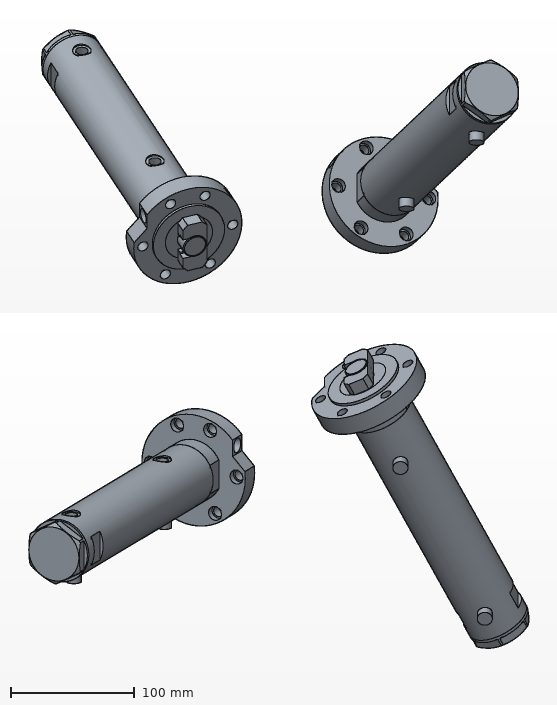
import cadquery as cq
import math


hex_end = 8.5
barrel_start = 11.0
spigot_end = 34.3
gland_start = 193.0
barrel_end = 228.7
flange_start = 244.5
flange_end = 261.0
pilot_end = 263.5
block_start = 265.5
block_step = 270.0
overall_length = 276.5

barrel_radius = 26.0
bore_radius = 16.0
neck_radius = 20.5
flat_half_width = 23.0
wrench_flat_start = 20.7
wrench_flat_length = 15.5
cap_face_radius = 22.7
cap_chamfer_length = 2.2

port_xs = (30.5, 189.5)
port_radius = 5.0
spotface_radius = 7.5
spotface_height = 24.5

plug_xs = (34.8, 193.0)
plug_radius = 6.0
plug_bottom = -33.5
plug_top = -20.5

flange_radius = 47.0
pilot_radius = 31.0
bolt_circle_radius = 39.0
bolt_angles = (0, 67.4, 112.6, 180, 240, 300)
bolt_hole_radius = 4.5
bolt_counterbore_radius = 5.8
bolt_counterbore_depth = 6.0
notch_y = -35.5
notch_floor_z = 17.1
cross_hole_radius = 6.0
cross_hole_z = 24.0

rod_radius = 10.0
rod_chamfer = 0.8
block_half_height = 23.0
block_half_width = 10.5
block_chamfer = 4.1
narrow_slot_half_height = 7.7
wide_slot_half_height = 9.5


def disc(start, end, radius):
    """Cylinder along X between two stations."""
    return cq.Workplane("YZ", origin=(start, 0, 0)).circle(radius).extrude(end - start)


def x_box(start, end, y_min, y_max, z_min, z_max):
    """Box given by its limits."""
    size = (end - start, y_max - y_min, z_max - z_min)
    return cq.Workplane().box(*size, centered=False).translate((start, y_min, z_min))


def vertical_cylinder(x, bottom, top, radius):
    """Cylinder along Z standing on the given height."""
    return cq.Workplane("XY", origin=(x, 0, bottom)).circle(radius).extrude(top - bottom)


def side_flats(start, end):
    """Material outside the two wrench flats of a barrel-sized cylinder."""
    near = x_box(start, end, -2 * barrel_radius, -flat_half_width, -barrel_radius, barrel_radius)
    return near.union(near.mirror("XZ"))


def make_cap():
    """Hexagonal end cap with a round collar and a spigot that closes the bore."""
    across_corners = 2 * flat_half_width / math.cos(math.pi / 6)
    hexagon = (
        cq.Workplane("YZ")
        .polygon(6, across_corners)
        .extrude(hex_end)
        .rotate((0, 0, 0), (1, 0, 0), 30)
    )
    turned_profile = (
        cq.Workplane("XY")
        .polyline([
            (0, 0),
            (0, cap_face_radius),
            (cap_chamfer_length, barrel_radius),
            (hex_end, barrel_radius),
            (hex_end, 0),
        ])
        .close()
        .revolve(360, (0, 0, 0), (1, 0, 0))
    )
    collar = disc(hex_end, barrel_start, barrel_radius)
    spigot = disc(barrel_start, spigot_end, bore_radius)
    return hexagon.intersect(turned_profile).union(collar).union(spigot)


def make_plug(x):
    """Round plug set in a blind hole in the underside of the barrel."""
    return vertical_cylinder(x, plug_bottom, plug_top, plug_radius)


def make_barrel():
    """Barrel with a rod gland, a reduced neck, wrench flats, spotfaced ports and plug holes."""
    barrel = disc(barrel_start, barrel_end, barrel_radius)
    barrel = barrel.cut(disc(barrel_start, barrel_end, bore_radius))
    barrel = barrel.cut(side_flats(wrench_flat_start, wrench_flat_start + wrench_flat_length))
    for x in port_xs:
        barrel = barrel.cut(vertical_cylinder(x, 0, barrel_radius, port_radius))
        barrel = barrel.cut(vertical_cylinder(x, spotface_height, barrel_radius, spotface_radius))
    for x in plug_xs:
        barrel = barrel.cut(make_plug(x))

    gland = disc(gland_start, barrel_end, bore_radius)
    neck = disc(barrel_end, pilot_end, neck_radius)
    barrel = barrel.union(gland).union(neck)
    return barrel.cut(disc(gland_start, pilot_end, rod_radius))


def make_notch():
    """Cutter for the corner notch: an upright face above a 45 degree floor."""
    rise = notch_y + flange_radius
    outside = 2 * flange_radius
    return (
        cq.Workplane("YZ", origin=(flange_start, 0, 0))
        .polyline([
            (notch_y, flange_radius),
            (notch_y, notch_floor_z),
            (-flange_radius, notch_floor_z - rise),
            (-outside, notch_floor_z - rise),
            (-outside, flange_radius),
        ])
        .close()
        .extrude(flange_end - flange_start)
    )


def make_flange():
    """Mounting flange with a flatted collar and a pilot, bored to fit over the barrel neck."""
    collar = disc(barrel_end, flange_start, barrel_radius).cut(side_flats(barrel_end, flange_start))
    flange = disc(flange_start, flange_end, flange_radius).cut(make_notch())

    for angle in bolt_angles:
        y = bolt_circle_radius * math.cos(math.radians(angle))
        z = bolt_circle_radius * math.sin(math.radians(angle))
        hole = disc(flange_start, flange_end, bolt_hole_radius)
        counterbore = disc(flange_start, flange_start + bolt_counterbore_depth, bolt_counterbore_radius)
        flange = flange.cut(hole.union(counterbore).translate((0, y, z)))

    cross_hole = (
        cq.Workplane("XZ", origin=((flange_start + flange_end) / 2, 0, cross_hole_z))
        .circle(cross_hole_radius)
        .extrude(flange_radius, both=True)
    )
    flange = flange.cut(cross_hole)

    pilot = disc(flange_end, pilot_end, pilot_radius)
    flange = flange.union(collar).union(pilot)
    return flange.cut(disc(barrel_end, pilot_end, neck_radius))


def make_rod():
    """Piston rod from the cap spigot to the coupling block."""
    return disc(spigot_end, overall_length, rod_radius).faces(">X").chamfer(rod_chamfer)


def make_block():
    """Coupling block around the rod end, with a stepped slot open on its -Y side."""
    block = x_box(
        block_start, overall_length,
        -block_half_width, block_half_width,
        -block_half_height, block_half_height,
    )
    block = block.edges("|X").chamfer(block_chamfer)
    block = block.cut(disc(block_start, overall_length, rod_radius))
    slot_steps = (
        (block_start, block_step, narrow_slot_half_height),
        (block_step, overall_length, wide_slot_half_height),
    )
    for start, end, half_height in slot_steps:
        block = block.cut(x_box(start, end, -block_half_width, 0, -half_height, half_height))
    return block


cap = make_cap()
barrel = make_barrel()
flange = make_flange()
rod = make_rod()
block = make_block()
plugs = [make_plug(x) for x in plug_xs]

result = cq.Compound.makeCompound([
    cap.val(),
    barrel.val(),
    flange.val(),
    rod.val(),
    block.val(),
    *[plug.val() for plug in plugs],
])